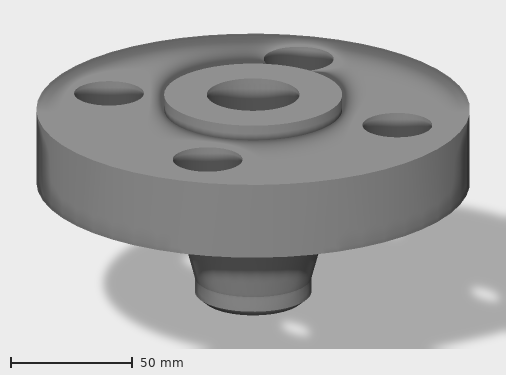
import cadquery as cq
import math

flange_diameter = 177.8
overall_height = 88.9
flange_thickness = 31.8

face_diameter = 73.0
face_height = 6.4
bore_diameter = 38.0

bolt_count = 4
bolt_hole_diameter = 28.6
bolt_circle_diameter = 124.0

pipe_diameter = 47.8
pipe_length = 9.2
bevel_width = 3.4
bevel_height = 2.8
hub_base_diameter = 70.0
hub_fillet_radius = 8.9

flange_top = overall_height - face_height
flange_bottom = flange_top - flange_thickness


def make_body():
    """Revolve the solid outer profile about Z; the taper meets the flange in a tangent arc."""
    pipe_radius = pipe_diameter / 2
    base_radius = hub_base_diameter / 2
    taper_angle = math.atan2(base_radius - pipe_radius, flange_bottom - pipe_length)

    tangent_length = hub_fillet_radius * math.tan((math.pi / 2 - taper_angle) / 2)
    taper_end = (
        base_radius - tangent_length * math.sin(taper_angle),
        flange_bottom - tangent_length * math.cos(taper_angle),
    )
    arc_end = (base_radius + tangent_length, flange_bottom)

    return (
        cq.Workplane("XZ")
        .moveTo(0, 0)
        .lineTo(pipe_radius - bevel_width, 0)
        .lineTo(pipe_radius, bevel_height)
        .lineTo(pipe_radius, pipe_length)
        .lineTo(*taper_end)
        .tangentArcPoint(arc_end, relative=False)
        .lineTo(flange_diameter / 2, flange_bottom)
        .lineTo(flange_diameter / 2, flange_top)
        .lineTo(face_diameter / 2, flange_top)
        .lineTo(face_diameter / 2, overall_height)
        .lineTo(0, overall_height)
        .close()
        .revolve(360, (0, 0, 0), (0, 1, 0))
    )


def make_bore():
    return cq.Workplane("XY").circle(bore_diameter / 2).extrude(overall_height)


def make_bolt_holes():
    return (
        cq.Workplane("XY")
        .workplane(offset=flange_bottom)
        .polarArray(bolt_circle_diameter / 2, 0, 360, bolt_count)
        .circle(bolt_hole_diameter / 2)
        .extrude(flange_thickness)
    )


result = make_body().cut(make_bore()).cut(make_bolt_holes())